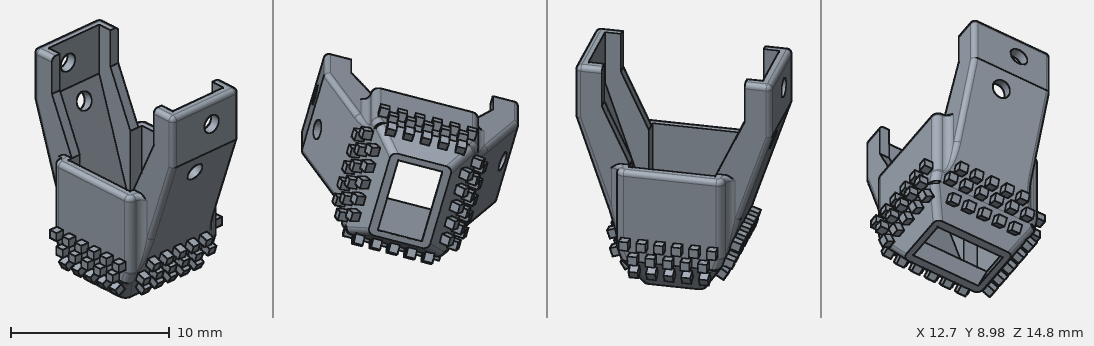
import cadquery as cq
import math

height = 14.8
arm_half_x = 6.35
arm_half_y = 2.9
arm_inner_x = 4.63
arm_knee_z = 11.16
lip_knee_z = 12.17
wall = 0.7

body_half_x = 3.51
body_half_y = 3.9
body_top_z = 8.26
skirt_z = 2.0
skirt_half_x = 3.25
bottom_half_x = 2.0
bottom_half_y = 2.85

corner_radius = 0.5
edge_radius = 0.34
flat_strip = 0.003
tab_half_x = 4.44

funnel_half_x = 1.66
outlet_half_x = 1.44
outlet_half_y = 2.43

hole_diameter = 1.25
hole_offset_y = 0.52
upper_hole_z = 13.1
lower_hole_z = 9.87

stud_size = 0.59
stud_height = 0.59
end_stud_height = 0.64
stud_pitch = 1.14
long_row = 6
short_row = 5
upper_row_z = 3.29
middle_row_z = 2.31
end_upper_row_z = 3.24
end_middle_row_z = 2.3
lower_row_z = 1.44
end_lower_row_z = 1.29

tolerance = 0.007

arm_slope = (arm_half_x - skirt_half_x) / (arm_knee_z - skirt_z)
arm_tilt = math.atan(arm_slope)
end_tilt = math.atan((skirt_half_x - bottom_half_x) / skirt_z)
side_tilt = math.atan((body_half_y - bottom_half_y) / skirt_z)
floor_z = skirt_z
root_radius = body_half_y - arm_half_y - corner_radius - flat_strip
pocket_half_x = body_half_x - wall
pocket_half_y = body_half_y - wall


def arm_outer_x(z):
    """Half width of the sloped outer arm face at height z."""
    return skirt_half_x + (z - skirt_z) * arm_slope


def slope_height(x):
    """Height at which the sloped outer arm face is x away from the middle."""
    return skirt_z + (x - skirt_half_x) / arm_slope


def extrude_along_y(points, half_y):
    return cq.Workplane("XZ").polyline(points).close().extrude(half_y, both=True)


def extrude_along_x(points, half_x):
    return cq.Workplane("YZ").polyline(points).close().extrude(half_x, both=True)


def mirrored(points):
    """Close a half outline by its mirror image across the Z axis."""
    return points + [(-u, z) for u, z in reversed(points)]


def is_close(a, b):
    return abs(a - b) < tolerance


def is_tab_root(edge):
    """Vertical corner where a tab leaves the end of the body."""
    center = edge.Center()
    return is_close(abs(center.x), body_half_x) and is_close(abs(center.y), arm_half_y)


def is_arm_outer_edge(edge):
    """Outer vertical, sloped and top edges of an arm."""
    center = edge.Center()
    if edge.geomType() != "LINE":
        return False
    if is_close(center.z, height):
        return not is_close(abs(center.x), arm_inner_x)
    on_side = is_close(abs(center.y), arm_half_y)
    on_upright = is_close(abs(center.x), arm_half_x)
    on_slope = is_close(abs(center.x), arm_outer_x(center.z))
    return on_side and (on_upright or on_slope)


def is_body_rim(edge):
    """Top edge of the body, except the end edge of each tab."""
    return not is_close(abs(edge.Center().x), tab_half_x)


def make_body():
    """Tapered block with a tab at each end that flares into the arm."""
    end_outline = [
        (bottom_half_x, 0),
        (skirt_half_x, skirt_z),
        (body_half_x, slope_height(body_half_x)),
        (body_half_x, body_top_z),
    ]
    side_outline = [(bottom_half_y, 0), (body_half_y, skirt_z), (body_half_y, body_top_z)]
    tab_outline = [
        (skirt_half_x, skirt_z),
        (tab_half_x, slope_height(tab_half_x)),
        (tab_half_x, body_top_z),
    ]
    body = extrude_along_y(mirrored(end_outline), body_half_y)
    body = body.intersect(extrude_along_x(mirrored(side_outline), body_half_x))
    body = body.edges("not(|X or |Y)").fillet(corner_radius)

    body = body.union(extrude_along_y(mirrored(tab_outline), arm_half_y))
    body = body.edges("|Z").filter(is_tab_root).fillet(root_radius)
    return body.faces(">Z").edges().filter(is_body_rim).fillet(edge_radius)


def make_arms():
    outline = [
        (0, skirt_z),
        (skirt_half_x, skirt_z),
        (arm_half_x, arm_knee_z),
        (arm_half_x, height),
        (arm_inner_x, height),
        (arm_inner_x, lip_knee_z),
        (pocket_half_x, body_top_z),
        (0, body_top_z),
    ]
    arm = extrude_along_y(outline, arm_half_y)
    return arm.union(arm.mirror("YZ"))


def make_shell():
    shell = make_body().union(make_arms())
    return shell.edges().filter(is_arm_outer_edge).fillet(edge_radius)


def cut_cavity(shell):
    """Pocket in the body, channel along the arms and funnel through the floor."""
    pocket = (
        cq.Workplane("XY")
        .workplane(offset=floor_z)
        .rect(2 * pocket_half_x, 2 * pocket_half_y)
        .extrude(height)
    )

    slope_shift = wall / math.cos(arm_tilt)
    channel_half_x = arm_half_x - wall
    channel_outline = [
        (pocket_half_x, floor_z),
        (pocket_half_x, slope_height(pocket_half_x + slope_shift)),
        (channel_half_x, slope_height(channel_half_x + slope_shift)),
        (channel_half_x, height),
    ]
    channel = extrude_along_y(mirrored(channel_outline), arm_half_y - wall)

    funnel = (
        cq.Workplane("XY")
        .rect(2 * outlet_half_x, 2 * outlet_half_y)
        .workplane(offset=floor_z)
        .rect(2 * funnel_half_x, 2 * pocket_half_y)
        .loft()
    )
    return shell.cut(pocket).cut(channel).cut(funnel)


def half_turn(shape):
    return shape.rotate((0, 0, 0), (0, 0, 1), 180)


def make_hole(y, z, tilt):
    """Drill square to the -X arm face that passes through (y, z)."""
    center = cq.Vector(-min(arm_half_x, arm_outer_x(z)), y, z)
    inward = cq.Vector(math.cos(tilt), 0, math.sin(tilt))
    drill = cq.Solid.makeCylinder(hole_diameter / 2, 4 * wall, center - inward * (2 * wall), inward)
    return cq.Workplane(drill)


def cut_holes(shell):
    upper = make_hole(-hole_offset_y, upper_hole_z, 0)
    lower = make_hole(hole_offset_y, lower_hole_z, arm_tilt)
    for hole in (upper, lower):
        shell = shell.cut(hole).cut(half_turn(hole))
    return shell


def make_stud_row(count, face_x, z, tilt, protrusion):
    """Row of square studs on the +X side, standing square to a face that leans by tilt."""
    row = cq.Workplane("XY")
    stud = cq.Workplane("XY").box(2 * protrusion, stud_size, stud_size)
    stud = stud.rotate((0, 0, 0), (0, 1, 0), math.degrees(tilt))
    for index in range(count):
        y = (index - (count - 1) / 2) * stud_pitch
        row = row.add(stud.translate((face_x, y, z)))
    return row.combine()


def add_studs(shell):
    end_upper_x = arm_outer_x(end_upper_row_z)
    end_middle_x = arm_outer_x(end_middle_row_z)
    end_lower_x = bottom_half_x + end_lower_row_z * math.tan(end_tilt)
    side_lower_y = bottom_half_y + lower_row_z * math.tan(side_tilt)
    end_rows = [
        make_stud_row(short_row, end_upper_x, end_upper_row_z, arm_tilt, end_stud_height),
        make_stud_row(long_row, end_middle_x, end_middle_row_z, arm_tilt, end_stud_height),
        make_stud_row(short_row, end_lower_x, end_lower_row_z, end_tilt, end_stud_height),
    ]
    side_rows = [
        make_stud_row(long_row, body_half_y, upper_row_z, 0, stud_height),
        make_stud_row(short_row, body_half_y, middle_row_z, 0, stud_height),
        make_stud_row(short_row, side_lower_y, lower_row_z, side_tilt, stud_height),
    ]
    quarter_turned = [row.rotate((0, 0, 0), (0, 0, 1), 90) for row in side_rows]
    for row in end_rows + quarter_turned:
        shell = shell.union(row).union(half_turn(row))
    return shell


result = cut_holes(cut_cavity(add_studs(make_shell())))